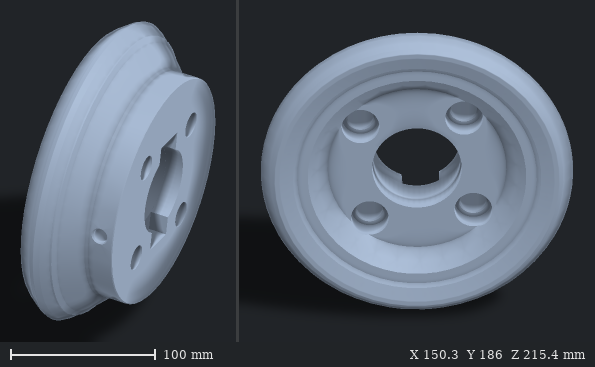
import cadquery as cq
import math

AXIS_AZIMUTH = 33.0
AXIS_DIP = 3.7
AXIS_ROLL = 5.1

HUB_R = 164.0 / 2
HUB_END = 44.0
HUB_CHAMFER = 0.6

FACE_HEIGHT = -18.0
FRONT_EDGE = (98.5, FACE_HEIGHT)
FRONT_CHAMFER_END = (101.2, -15.3)
FLANK_END = (107.0, -7.0)
CREST = (108.0, -4.0)
CREST_END = (211.5 / 2, -0.2)
LAND_START = (101.2, 5.4)
LAND_END = (101.0, 6.7)
BACK_CONE_END = (97.3, 9.3)
BACK_CURVE_MID = (90.6, 16.5)
HUB_BEVEL_START = (HUB_R + 1.0, 23.5)
HUB_BEVEL_END = (HUB_R, 25.6)

POCKET_FLOOR_R = 61.8
LEDGE_DEPTH = 13.8
LEDGE_INNER_R = POCKET_FLOOR_R + LEDGE_DEPTH
LEDGE_OUTER_R = 82.9
LIP_FOOT = (85.9, -15.5)
LIP_TOP = (95.1, FACE_HEIGHT)

ROUNDED_EDGES = (
    (LIP_TOP, 2.0),
    (FRONT_EDGE, 0.9),
    (FLANK_END, 1.7),
    (CREST, 0.6),
)
EDGE_TOLERANCE = 0.02

BORE_MOUTH_R = 62.0 / 2
BORE_MID_R = 60.0 / 2
BORE_END_R = 60.3 / 2
BORE_MOUTH_DEPTH = 11.8
KEYWAY_START = 30.8
KEYWAY_WIDTH = 25.8
KEYWAY_REACH = 41.0

BOLT_SPACING = 72.0
BOLT_R = 18.0 / 2
COUNTERBORE_R = 26.0 / 2
COUNTERBORE_DEPTH = 14.0
BOLT_CHAMFER = 1.0

SCREW_R = 10.3 / 2
SCREW_CHAMFER = 1.0
SCREW_HEIGHT = 33.8
SCREW_DEPTH = 21.5


def revolve_about_axis(profile):
    return profile.revolve(360, (0, 0, 0), (0, 1, 0))


def turned_body():
    profile = (
        cq.Workplane("XZ")
        .lineTo(POCKET_FLOOR_R, 0)
        .lineTo(LEDGE_INNER_R, -LEDGE_DEPTH)
        .lineTo(LEDGE_OUTER_R, -LEDGE_DEPTH)
        .lineTo(*LIP_FOOT)
        .lineTo(*LIP_TOP)
        .lineTo(*FRONT_EDGE)
        .lineTo(*FRONT_CHAMFER_END)
        .lineTo(*FLANK_END)
        .lineTo(*CREST)
        .lineTo(*CREST_END)
        .lineTo(*LAND_START)
        .lineTo(*LAND_END)
        .lineTo(*BACK_CONE_END)
        .threePointArc(BACK_CURVE_MID, HUB_BEVEL_START)
        .lineTo(*HUB_BEVEL_END)
        .lineTo(HUB_R, HUB_END - HUB_CHAMFER)
        .lineTo(HUB_R - HUB_CHAMFER, HUB_END)
        .lineTo(0, HUB_END)
        .close()
    )
    return revolve_about_axis(profile)


def round_edge(body, position, fillet_radius):
    radius, height = position

    def is_here(edge):
        if edge.geomType() != "CIRCLE":
            return False
        point = edge.startPoint()
        radial_gap = math.hypot(point.x, point.y) - radius
        return math.hypot(radial_gap, point.z - height) < EDGE_TOLERANCE

    matching_edges = [edge for edge in body.edges().vals() if is_here(edge)]
    return body.newObject(matching_edges).fillet(fillet_radius)


def bore():
    mouth_chamfer = BORE_MOUTH_R - BORE_MID_R
    profile = (
        cq.Workplane("XZ")
        .lineTo(BORE_MOUTH_R, 0)
        .lineTo(BORE_MOUTH_R, BORE_MOUTH_DEPTH)
        .lineTo(BORE_MID_R, BORE_MOUTH_DEPTH + mouth_chamfer)
        .lineTo(BORE_MID_R, KEYWAY_START)
        .lineTo(BORE_END_R, KEYWAY_START)
        .lineTo(BORE_END_R, HUB_END)
        .lineTo(0, HUB_END)
        .close()
    )
    return revolve_about_axis(profile)


def keyways():
    return (
        cq.Workplane("XY")
        .workplane(offset=KEYWAY_START)
        .rect(KEYWAY_WIDTH, 2 * KEYWAY_REACH)
        .extrude(HUB_END - KEYWAY_START)
    )


def bolt_holes():
    profile = (
        cq.Workplane("XZ")
        .moveTo(0, -LEDGE_DEPTH)
        .lineTo(COUNTERBORE_R, -LEDGE_DEPTH)
        .lineTo(COUNTERBORE_R, COUNTERBORE_DEPTH)
        .lineTo(BOLT_R + BOLT_CHAMFER, COUNTERBORE_DEPTH)
        .lineTo(BOLT_R, COUNTERBORE_DEPTH + BOLT_CHAMFER)
        .lineTo(BOLT_R, HUB_END)
        .lineTo(0, HUB_END)
        .close()
    )
    hole = revolve_about_axis(profile).val()
    centres = cq.Workplane("XY").rect(BOLT_SPACING, BOLT_SPACING, forConstruction=True).vertices()
    return centres.eachpoint(lambda place: hole.moved(place))


def screw_hole():
    inward = cq.Vector(-1, 0, 0)
    mouth = cq.Vector(HUB_R, 0, SCREW_HEIGHT)
    hole = cq.Solid.makeCylinder(SCREW_R, SCREW_DEPTH, mouth, inward)
    chamfer = cq.Solid.makeCone(SCREW_R + SCREW_CHAMFER, SCREW_R, SCREW_CHAMFER, mouth, inward)
    return cq.Workplane("XY").add(hole.fuse(chamfer))


def placement():
    azimuth = math.radians(AXIS_AZIMUTH)
    dip = math.radians(AXIS_DIP)
    roll = math.radians(AXIS_ROLL)
    axis = cq.Vector(
        math.cos(dip) * math.cos(azimuth),
        math.cos(dip) * math.sin(azimuth),
        -math.sin(dip),
    )
    level = cq.Vector(math.sin(azimuth), -math.cos(azimuth), 0)
    upward = level.cross(axis)
    screw_side = level * math.cos(roll) + upward * math.sin(roll)
    return cq.Location(cq.Plane((0, 0, 0), screw_side, axis))


wheel = turned_body()
for edge_position, edge_fillet in ROUNDED_EDGES:
    wheel = round_edge(wheel, edge_position, edge_fillet)

wheel = wheel.cut(bore()).cut(keyways()).cut(bolt_holes()).cut(screw_hole())
result = cq.Workplane("XY").add(wheel.solids().val().moved(placement()))